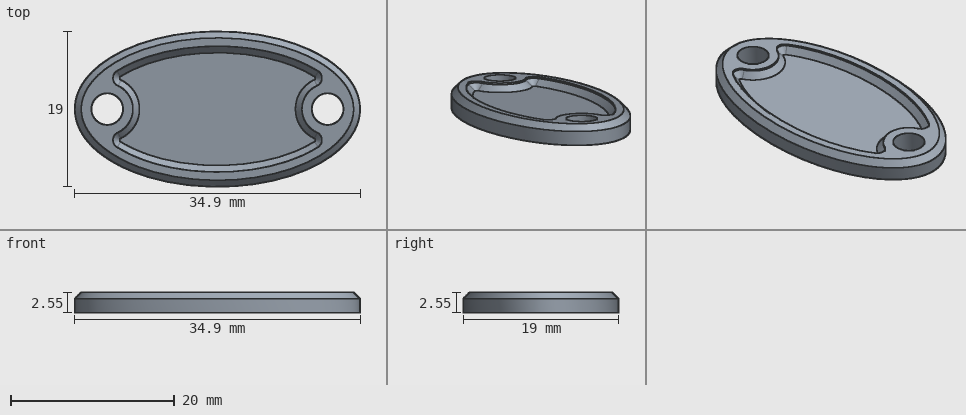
import cadquery as cq
import math

length = 34.92
width = 19.03
thickness = 2.55
edge_chamfer = 0.8

hole_diameter = 3.85
hole_offset = 13.48
hole_centers = [(-hole_offset, 0), (hole_offset, 0)]

rim_width = 1.8
boss_radius = 3.15
corner_radius = 1.0
wall_run = 0.8
lip_height = 0.2
pocket_depth = wall_run + lip_height
floor_height = thickness - pocket_depth

side_spans = 24
bisection_steps = 50


def make_plate():
    """Elliptical plate with a chamfered top edge."""
    plate = cq.Workplane("XY").ellipse(length / 2, width / 2).extrude(thickness)
    return plate.faces(">Z").edges().chamfer(edge_chamfer)


def rim_point(angle):
    """Point on the pocket's oval outline, a constant distance inside the plate edge."""
    half_length = length / 2
    half_width = width / 2
    normal_x = half_width * math.cos(angle)
    normal_y = half_length * math.sin(angle)
    normal_size = math.hypot(normal_x, normal_y)
    x = half_length * math.cos(angle) - rim_width * normal_x / normal_size
    y = half_width * math.sin(angle) - rim_width * normal_y / normal_size
    return x, y


def find_corner_angle():
    """Ellipse angle at which the pocket's oval meets the boss around the right hole."""
    low = 0.0
    high = math.pi / 2
    for _ in range(bisection_steps):
        middle = (low + high) / 2
        x, y = rim_point(middle)
        if math.hypot(x - hole_offset, y) < boss_radius:
            low = middle
        else:
            high = middle
    return (low + high) / 2


def make_pocket():
    """Two oval sides joined around the bosses, with rounded corners and a sloped lower wall."""
    corner_angle = find_corner_angle()
    sweep = math.pi - 2 * corner_angle
    corner_x, corner_y = rim_point(corner_angle)
    boss_x = hole_offset - boss_radius

    def upper_side(t):
        return rim_point(corner_angle + sweep * t)

    def lower_side(t):
        return rim_point(math.pi + corner_angle + sweep * t)

    sharp_pocket = (
        cq.Workplane("XY", origin=(0, 0, floor_height))
        .parametricCurve(upper_side, N=side_spans, makeWire=False)
        .moveTo(-corner_x, corner_y)
        .threePointArc((-boss_x, 0), (-corner_x, -corner_y))
        .parametricCurve(lower_side, N=side_spans, makeWire=False)
        .moveTo(corner_x, -corner_y)
        .threePointArc((boss_x, 0), (corner_x, corner_y))
        .wire()
        .extrude(pocket_depth)
    )
    rounded_pocket = sharp_pocket.edges("|Z").fillet(corner_radius)
    return rounded_pocket.faces("<Z").edges().chamfer(wall_run)


def make_holes():
    """Through holes at both ends."""
    return cq.Workplane("XY").pushPoints(hole_centers).circle(hole_diameter / 2).extrude(thickness)


result = make_plate().cut(make_pocket()).cut(make_holes())